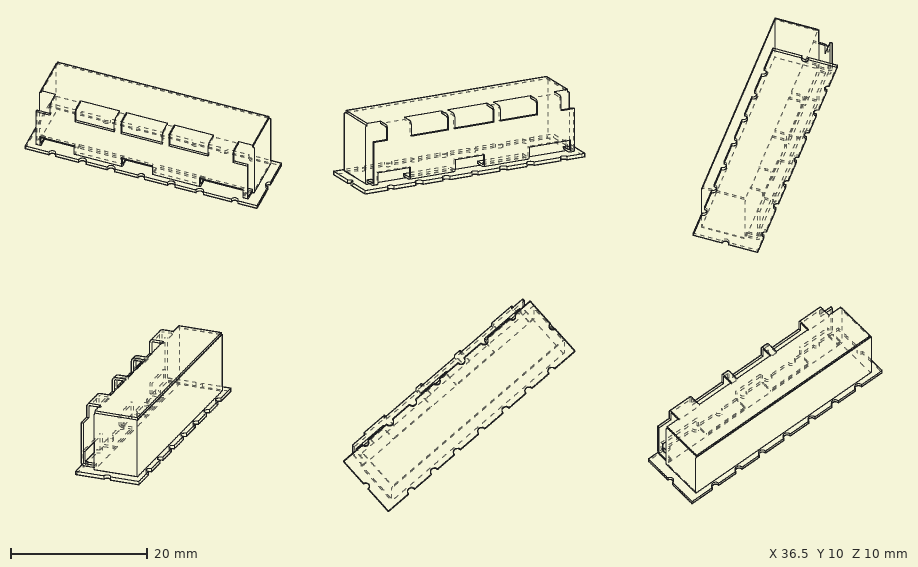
import cadquery as cq

plate_length = 36.5
plate_width = 10.0
plate_thickness = 0.55
total_height = 10.0

large_notch_radius = 0.6
small_notch_radius = 0.5
notch_pitch = 4.5
first_notch_x = 4.75
back_notches_per_side = 3
front_large_notches_per_side = 2
front_left_notch_x = -13.98
front_right_notch_x = 14.75

sheet_thickness = 0.35
bend_radius = 0.6
cover_length = 33.3
cover_front_y = -4.78
cover_back_y = 4.12
cover_bottom_z = 0.88

block_length = 33.85
block_front_y = -2.6
block_back_y = 4.2
block_rounding = 0.22
block_top_z = total_height - sheet_thickness

upper_opening_bottom_z = 7.7
middle_opening_width = 6.5
side_opening_inner_x = 4.3
side_opening_outer_x = 10.48
corner_opening_inner_x = 14.4
lower_opening_top_z = 2.9
lower_openings = [(-16.0, -10.62), (-3.18, 1.68), (9.12, 15.95)]


def box_between(x_range, y_range, z_range):
    """Box filling the given (low, high) ranges along X, Y and Z."""
    sides = [high - low for low, high in (x_range, y_range, z_range)]
    corner = cq.Vector(x_range[0], y_range[0], z_range[0])
    return cq.Workplane("XY").box(*sides, centered=False).translate(corner)


def edge_notches(centres, radius):
    """Upright cylinders that cut half-round notches where they meet the plate edges."""
    return cq.Workplane("XY").pushPoints(centres).circle(radius).extrude(plate_thickness)


def make_plate():
    half_length = plate_length / 2
    half_width = plate_width / 2
    plate = cq.Workplane("XY").box(plate_length, plate_width, plate_thickness, centered=(True, True, False))

    paired_x = [first_notch_x + i * notch_pitch for i in range(back_notches_per_side)]
    back_x = [0.0] + paired_x + [-x for x in paired_x]
    large_front_x = [side * x for x in paired_x[:front_large_notches_per_side] for side in (-1, 1)]
    large_centres = [(x, half_width) for x in back_x] + [(x, -half_width) for x in large_front_x]

    small_front_x = [front_left_notch_x, 0.0, front_right_notch_x]
    end_centres = [(-half_length, 0.0), (half_length, 0.0)]
    small_centres = [(x, -half_width) for x in small_front_x] + end_centres

    plate = plate.cut(edge_notches(large_centres, large_notch_radius))
    return plate.cut(edge_notches(small_centres, small_notch_radius))


def make_block():
    half_length = block_length / 2
    block = box_between(
        (-half_length, half_length), (block_front_y, block_back_y), (plate_thickness, block_top_z)
    )
    return block.edges("|Y").fillet(block_rounding)


def make_cover():
    """Sheet running over the block, down in front of it and back underneath to its front face."""
    half_length = cover_length / 2
    inner_front_y = cover_front_y + sheet_thickness
    cover = box_between(
        (-half_length, half_length), (cover_front_y, cover_back_y), (cover_bottom_z, total_height)
    )
    cover = cover.edges("|X and <Y").fillet(bend_radius)
    hollow = box_between(
        (-half_length, half_length),
        (inner_front_y, cover_back_y),
        (cover_bottom_z + sheet_thickness, block_top_z),
    )
    hollow = hollow.edges("|X and <Y").fillet(bend_radius - sheet_thickness)
    under_block = box_between(
        (-half_length, half_length),
        (block_front_y, cover_back_y),
        (cover_bottom_z, cover_bottom_z + sheet_thickness),
    )
    cover = cover.cut(hollow).cut(under_block)

    opening_y = (cover_front_y, block_front_y)
    upper_openings = [
        (-middle_opening_width / 2, middle_opening_width / 2),
        (side_opening_inner_x, side_opening_outer_x),
        (-side_opening_outer_x, -side_opening_inner_x),
        (corner_opening_inner_x, half_length),
        (-half_length, -corner_opening_inner_x),
    ]
    for x_range in upper_openings:
        cover = cover.cut(box_between(x_range, opening_y, (upper_opening_bottom_z, total_height)))
    for x_range in lower_openings:
        cover = cover.cut(box_between(x_range, opening_y, (cover_bottom_z, lower_opening_top_z)))
    return cover


result = make_plate().union(make_block()).union(make_cover())